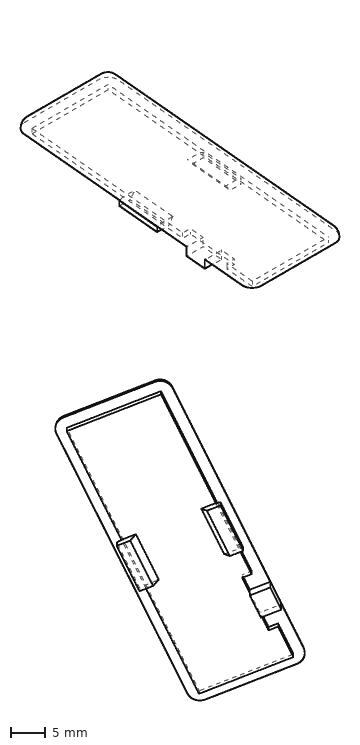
import cadquery as cq

plate_length = 51.0
plate_width = 18.5
plate_thickness = 2.0
rim_radius = plate_thickness

pad_length = 47.5
pad_width = 15.0
pad_thickness = 1.0

overall_height = 4.3
clip_length = 8.2
clip_span = 16.5
clip_root_span = 10.4
clip_tip_span = 12.2
clip_tip_z = plate_thickness - overall_height
lip_slope_drop = 0.3
lip_edge_z = -pad_thickness - lip_slope_drop

key_center_x = 13.5
key_length = 4.0
key_height = 1.75
relief_length = 9.5
relief_depth = 1.5


def make_plate():
    block_height = 2 * plate_thickness
    block = (
        cq.Workplane("XY")
        .box(plate_length, plate_width, block_height, centered=(True, True, False))
        .translate((0, 0, plate_thickness - block_height))
        .edges("|Z or >Z")
        .fillet(rim_radius)
    )
    upper_half = cq.Workplane("XY").box(
        plate_length, plate_width, plate_thickness, centered=(True, True, False)
    )
    return block.intersect(upper_half)


def make_pad():
    pad = (
        cq.Workplane("XY")
        .box(pad_length, pad_width, pad_thickness, centered=(True, True, False))
        .translate((0, 0, -pad_thickness))
    )
    relief = (
        cq.Workplane("XY")
        .box(relief_length, relief_depth, pad_thickness, centered=(True, False, False))
        .translate((key_center_x, -pad_width / 2, -pad_thickness))
    )
    return pad.cut(relief)


def make_clip():
    profile = [
        (clip_root_span / 2, -pad_thickness),
        (pad_width / 2, -pad_thickness),
        (clip_span / 2, lip_edge_z),
        (clip_span / 2, clip_tip_z),
        (clip_tip_span / 2, clip_tip_z),
    ]
    return (
        cq.Workplane("YZ")
        .polyline(profile)
        .close()
        .extrude(clip_length / 2, both=True)
    )


def make_key():
    key_depth = (plate_width - pad_width) / 2 + relief_depth
    return (
        cq.Workplane("XY")
        .box(key_length, key_depth, key_height, centered=(True, False, False))
        .translate((key_center_x, -plate_width / 2, -key_height))
    )


clip = make_clip()
result = (
    make_plate()
    .union(make_pad())
    .union(clip)
    .union(clip.mirror("XZ"))
    .union(make_key())
)